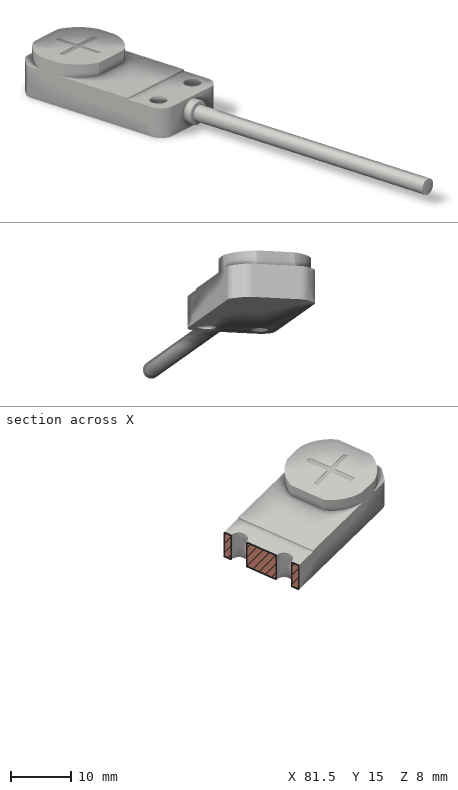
import cadquery as cq

total_length = 81.5
total_height = 8.0

body_length = 31.45
body_width = 15.0
body_height = 5.6
front_chamfer = 2.5
front_blend_radius = 2.0
rear_corner_radius = 2.45

deck_start = 23.9
deck_height = 5.4
hole_diameter = 3.0
hole_x = 28.0
hole_spacing = 9.05

cap_diameter = 15.4
cap_length = 13.9
cap_start = 0.6
cap_x = cap_start + cap_length / 2

mark_length = 9.0
mark_width = 0.8
mark_cross_length = 9.3
mark_cross_width = 1.1
mark_depth = 0.2
across = 90

cable_z = body_height / 2
cable_diameter = 2.85
collar_diameter = 4.3
collar_length = 1.5
collar_edge_round = 0.25


def make_body():
    body = cq.Workplane("XY").box(body_length, body_width, body_height, centered=(False, True, False))
    body = body.edges("|Z and <X").chamfer(front_chamfer)
    body = body.edges("|Z and (not >X)").fillet(front_blend_radius)
    return body.edges("|Z and >X").fillet(rear_corner_radius)


def make_deck_cut():
    return (
        cq.Workplane("XY", origin=(deck_start, 0, deck_height))
        .box(body_length - deck_start, body_width, body_height - deck_height, centered=(False, True, False))
    )


def make_mounting_holes():
    return (
        cq.Workplane("XY")
        .pushPoints([(hole_x, -hole_spacing / 2), (hole_x, hole_spacing / 2)])
        .circle(hole_diameter / 2)
        .extrude(body_height)
    )


def make_cap():
    cap_height = total_height - body_height
    plane = cq.Workplane("XY", origin=(cap_x, 0, body_height))
    disc = plane.circle(cap_diameter / 2).extrude(cap_height)
    trim = plane.rect(cap_length, body_width).extrude(cap_height)
    return disc.intersect(trim)


def make_mark():
    plane = cq.Workplane("XY", origin=(cap_x, 0, total_height))
    bar = plane.rect(mark_length, mark_width).extrude(-mark_depth)
    rounded_bar = plane.slot2D(mark_cross_length, mark_cross_width, across).extrude(-mark_depth)
    return bar.union(rounded_bar)


def make_cable():
    plane = cq.Workplane("YZ", origin=(body_length, 0, cable_z))
    collar = plane.circle(collar_diameter / 2).extrude(collar_length)
    collar = collar.faces(">X").edges().fillet(collar_edge_round)
    cable = plane.circle(cable_diameter / 2).extrude(total_length - body_length)
    return collar.union(cable)


housing = make_body().cut(make_deck_cut()).cut(make_mounting_holes())
sensor_cap = make_cap().cut(make_mark())
result = housing.union(sensor_cap).union(make_cable())